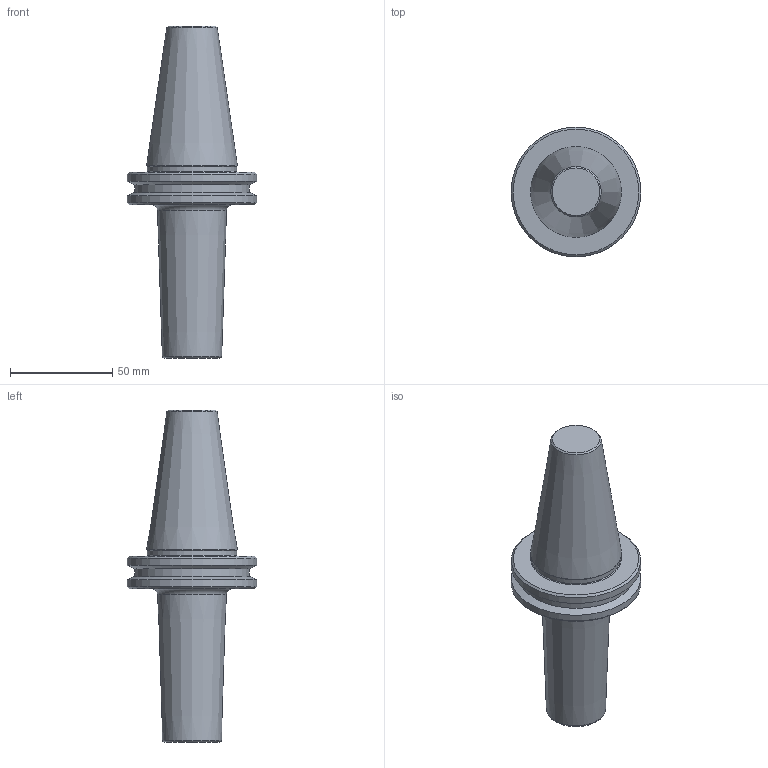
import cadquery as cq


overall_length = 162.5
shank_length = 68.4
gauge_radius = 44.45 / 2
taper_per_length = 7 / 24
shank_end_chamfer = 0.7

relief_radius = 43.8 / 2
relief_side_height = 0.4

flange_radius = 63.5 / 2
flange_top_z = -3.2
flange_bottom_z = -19.1
flange_chamfer = 1.0
groove_center_z = -11.15
groove_floor_radius = 56.25 / 2
groove_floor_width = 3.9
groove_mouth_width = 7.0

nose_top_radius = 17.0
nose_end_radius = 14.5
nose_fillet_radius = 3.0
nose_end_fillet = 1.0

nose_end_z = shank_length - overall_length
shank_end_radius = gauge_radius - shank_length * taper_per_length / 2
groove_floor_half = groove_floor_width / 2
groove_mouth_half = groove_mouth_width / 2


def revolved(profile):
    """Close a profile drawn as (radius, z) and turn it about Z."""
    return profile.close().revolve(360, (0, 0, 0), (0, 1, 0))


def make_shank():
    """Taper shank with a chamfered small end, and the slope-sided relief under it."""
    chamfer_z = shank_length - shank_end_chamfer
    chamfer_radius = shank_end_radius + shank_end_chamfer * taper_per_length / 2
    profile = (
        cq.Workplane("XZ")
        .moveTo(0, flange_top_z)
        .lineTo(gauge_radius, flange_top_z)
        .lineTo(relief_radius, flange_top_z + relief_side_height)
        .lineTo(relief_radius, -relief_side_height)
        .lineTo(gauge_radius, 0)
        .lineTo(chamfer_radius, chamfer_z)
        .lineTo(chamfer_radius - shank_end_chamfer, shank_length)
        .lineTo(0, shank_length)
    )
    return revolved(profile)


def make_flange():
    """Flange disc with chamfered outer rims and a V-groove around it."""
    height = flange_top_z - flange_bottom_z
    disc = (
        cq.Workplane("XY")
        .workplane(offset=flange_bottom_z)
        .circle(flange_radius)
        .extrude(height)
        .edges()
        .chamfer(flange_chamfer)
    )
    groove = (
        cq.Workplane("XZ")
        .moveTo(groove_floor_radius, groove_center_z - groove_floor_half)
        .lineTo(flange_radius, groove_center_z - groove_mouth_half)
        .lineTo(flange_radius, groove_center_z + groove_mouth_half)
        .lineTo(groove_floor_radius, groove_center_z + groove_floor_half)
    )
    return disc.cut(revolved(groove))


def make_nose():
    """Slightly tapered nose with a rounded lower rim."""
    profile = (
        cq.Workplane("XZ")
        .moveTo(0, flange_bottom_z)
        .lineTo(nose_top_radius, flange_bottom_z)
        .lineTo(nose_end_radius, nose_end_z)
        .lineTo(0, nose_end_z)
    )
    return revolved(profile).faces("<Z").edges().fillet(nose_end_fillet)


def fillet_nose_root(body):
    """Round the inside corner where the nose meets the flange."""
    root_size = 2 * nose_top_radius + nose_fillet_radius
    selector = cq.selectors.BoxSelector(
        (-root_size, -root_size, flange_bottom_z - nose_fillet_radius / 2),
        (root_size, root_size, flange_bottom_z + nose_fillet_radius / 2),
    )
    return body.edges(selector).edges(cq.selectors.RadiusNthSelector(0)).fillet(nose_fillet_radius)


result = fillet_nose_root(make_shank().union(make_flange()).union(make_nose()))